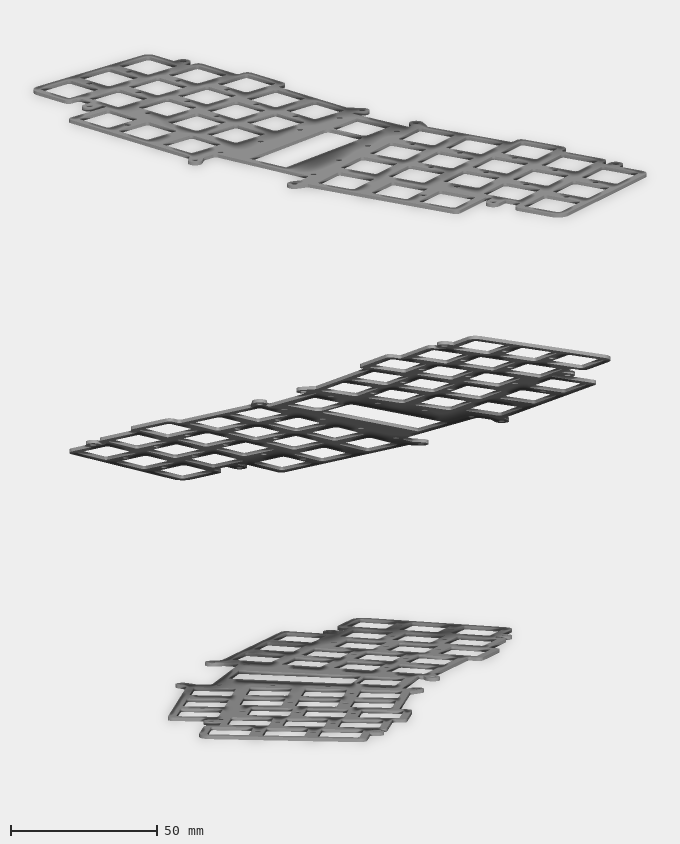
import cadquery as cq
import math

thickness = 1.18
pitch = 19.05
half_tilt = 7.0
key_size = 14.5
key_corner_radius = 1.0
rim = 9.95
thumb_rim = 10.2
small_hole_diameter = 2.1
tab_hole_diameter = 2.2
tab_radius = 2.5

inner_column_x = -27.36
home_row_y = 3.85
inner_edge_x = inner_column_x + 11.2
controller_hole_x = inner_column_x + 12.0
foot_hole = (-16.28, -33.67)

column_stagger = [0, 0, pitch / 4, 0, -pitch / 4]
column_x = [inner_column_x - i * pitch for i in range(len(column_stagger))]
column_y = [home_row_y + shift for shift in column_stagger]

below_column = 1.5 * pitch

rows = (-1, 0, 1)
thumb_row_y = home_row_y - 2 * pitch
thumb_x = [
    inner_column_x - pitch / 8,
    column_x[1] - pitch / 4,
    column_x[2] - pitch / 4,
]

bridge_top = 31.1
bridge_bottom = -33.9
bridge_neck_x = 13.2
bridge_foot_x = 21.0
bridge_corner_radius = 1.5
display_width = 14.7
display_bottom = 13.5
display_top = 27.7
controller_width = 16.1
controller_bottom = -31.1
controller_top = 12.2
window_corner_radius = 2.0

outer_top_radius = 3.0
outer_bottom_radius = 4.3
small_corner = 2.0
root_radius = 1.0

tabs = [
    ((-98.7, 30.1), (-98.7, 26.0)),
    ((-85.2, -28.6), (-85.2, -22.0)),
    ((-16.1, 34.5), (-19.3, 31.7)),
    ((-16.15, -46.05), (-19.0, -42.0)),
]


def prism(corners):
    """Plate with the given outline; each corner is x, y and its rounding radius."""
    outline = cq.Workplane("XY").polyline([(x, y) for x, y, _ in corners]).close()
    solid = outline.extrude(thickness)
    for x, y, radius in corners:
        if radius > 0:
            corner = cq.selectors.NearestToPointSelector((x, y, thickness / 2))
            solid = solid.edges("|Z").edges(corner).fillet(radius)
    return solid


def key_field():
    """Outline of the left key field, following the column stagger."""
    reach = pitch + rim
    top = [y + reach for y in column_y]
    outer_left = column_x[4] - rim
    outer_right = column_x[4] + pitch / 2
    thumb_left = thumb_x[2] - thumb_rim
    thumb_bottom = thumb_row_y - rim
    outer_bottom = column_y[4] - reach
    notch_y = column_y[3] - below_column
    middle_left = column_x[2] - pitch / 2
    middle_right = column_x[2] + rim
    return prism(
        [
            (outer_left, top[4], outer_top_radius),
            (outer_right, top[4], root_radius),
            (outer_right, top[3], small_corner),
            (middle_left, top[3], root_radius),
            (middle_left, top[2], small_corner),
            (middle_right, top[2], small_corner),
            (middle_right, top[0], root_radius),
            (inner_edge_x, top[0], 0),
            (inner_edge_x, thumb_bottom, 0),
            (thumb_left, thumb_bottom, small_corner),
            (thumb_left, notch_y, root_radius),
            (outer_right, notch_y, root_radius),
            (outer_right, outer_bottom, small_corner),
            (outer_left, outer_bottom, outer_bottom_radius),
        ]
    )


def tab(hole, root):
    """Round-ended tab reaching from inside the plate to its hole."""
    length = math.dist(hole, root)
    angle = math.degrees(math.atan2(hole[1] - root[1], hole[0] - root[0]))
    middle = ((hole[0] + root[0]) / 2, (hole[1] + root[1]) / 2)
    slot = cq.Workplane("XY").center(*middle).slot2D(length + 2 * tab_radius, 2 * tab_radius, angle)
    return slot.extrude(thickness)


def key_cutouts():
    """Square openings of all keys of the left half."""
    centres = [(x, y + row * pitch) for x, y in zip(column_x, column_y) for row in rows]
    centres += [(x, thumb_row_y) for x in thumb_x]
    cutters = cq.Workplane("XY").pushPoints(centres).rect(key_size, key_size).extrude(thickness)
    return cutters.edges("|Z").fillet(key_corner_radius)


def small_holes():
    """Holes between neighbouring keys and beside the controller."""
    outer_columns = list(zip(column_x, column_y))[1:]
    centres = [(x, y + side * pitch / 2) for x, y in outer_columns for side in (-1, 1)]
    centres.append((column_x[0], column_y[0] + pitch / 2))
    centres.append((column_x[2], column_y[2] - below_column))
    centres.append(((thumb_x[1] + thumb_x[2]) / 2, thumb_row_y))
    centres += [(controller_hole_x, column_y[0] + row * pitch) for row in rows]
    centres.append(foot_hole)
    return cq.Workplane("XY").pushPoints(centres).circle(small_hole_diameter / 2).extrude(thickness)


def tab_holes():
    """Screw holes in the fixing tabs."""
    centres = [hole for hole, _ in tabs]
    return cq.Workplane("XY").pushPoints(centres).circle(tab_hole_diameter / 2).extrude(thickness)


def tilt_and_mirror(left):
    """Tilt a shape of the left half and add its mirror image."""
    left = left.rotate((0, 0, 0), (0, 0, 1), -half_tilt)
    return left.union(left.mirror("YZ"))


def bridge():
    """Flat web that joins the two halves and carries the controller windows."""
    left_top = (-bridge_neck_x, bridge_top)
    left_bottom = (-bridge_foot_x, bridge_bottom)
    corners = [left_top, (bridge_neck_x, bridge_top), (bridge_foot_x, bridge_bottom), left_bottom]
    return cq.Workplane("XY").polyline(corners).close().extrude(thickness)


def round_bridge_foot(solid):
    """Round the two inner corners where the bridge bottom edge meets the halves."""
    for side in (-1, 1):
        point = (side * bridge_foot_x, bridge_bottom, thickness / 2)
        corner = cq.selectors.NearestToPointSelector(point)
        solid = solid.edges("|Z").edges(corner).fillet(bridge_corner_radius)
    return solid


def window(width, bottom, top, rounded_edges):
    """Central rectangular opening, rounded at one end only."""
    middle = (0, (bottom + top) / 2)
    cutter = cq.Workplane("XY").center(*middle).rect(width, top - bottom).extrude(thickness)
    return cutter.edges("|Z").edges(rounded_edges).fillet(window_corner_radius)


left_plate = key_field()
for hole, root in tabs:
    left_plate = left_plate.union(tab(hole, root))
plate = tilt_and_mirror(left_plate).union(bridge())
plate = plate.cut(tilt_and_mirror(key_cutouts()))
plate = plate.cut(tilt_and_mirror(small_holes()))
plate = plate.cut(tilt_and_mirror(tab_holes()))
plate = plate.cut(window(display_width, display_bottom, display_top, "<Y"))
plate = plate.cut(window(controller_width, controller_bottom, controller_top, ">Y"))
result = round_bridge_foot(plate)